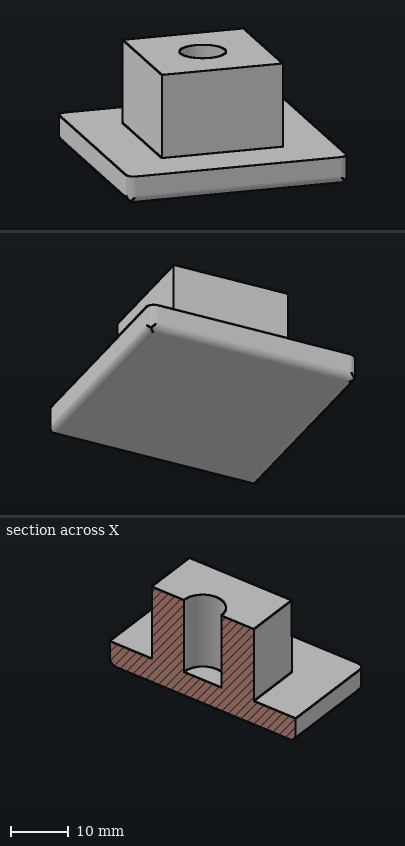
import cadquery as cq

plate_side = 40.0
plate_thickness = 5.0
edge_radius = 1.5

total_height = 20.0
block_side = 22.0
block_height = total_height - plate_thickness
hole_diameter = 8.0
hole_depth = block_height


def make_slab(rounded_edges):
    """Plain square plate with the selected edges rounded."""
    slab = cq.Workplane("XY").rect(plate_side, plate_side).extrude(plate_thickness)
    return slab.edges(rounded_edges).fillet(edge_radius)


def make_plate():
    """Plate whose corner and rim roundings run straight on and meet in mitres."""
    plate = make_slab("|Z")
    for lower_edges in ("|X and <Z", "|Y and <Z"):
        plate = plate.intersect(make_slab(lower_edges))
    return plate


def make_block():
    """Block standing on top of the plate."""
    base = cq.Workplane("XY").workplane(offset=plate_thickness)
    return base.rect(block_side, block_side).extrude(block_height)


body = make_plate().union(make_block())
result = body.faces(">Z").workplane().hole(hole_diameter, hole_depth)